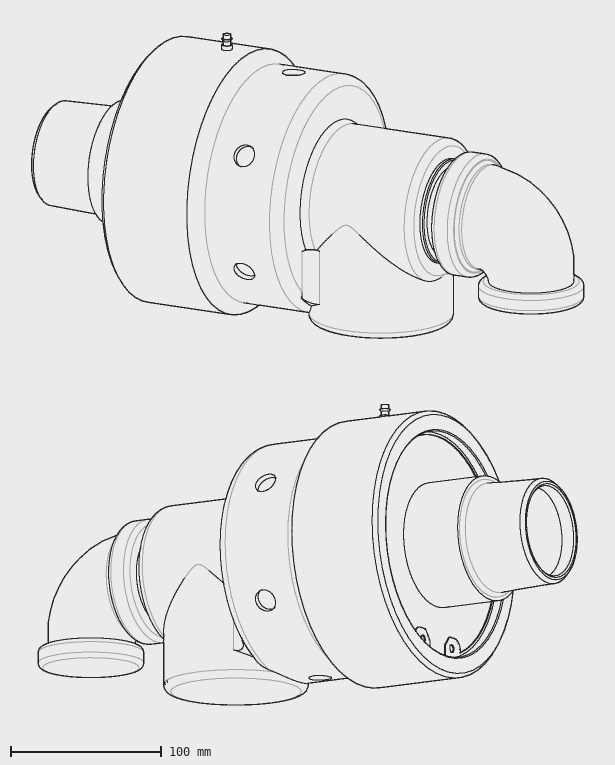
import cadquery as cq
import math

OVERALL_LENGTH = 393.2
OVERALL_HEIGHT = 188.5

TIP_DIAMETER = 65.5
TIP_CHAMFER_LENGTH = 2.8
TAPER_START_DIAMETER = 70.5
TAPER_END_DIAMETER = 73.0
SHOULDER_X = 47.0
SHOULDER_FILLET = 2.8
SHAFT_DIAMETER = 83.5
BORE_DIAMETER = 60.0
BORE_DEPTH = 10.2
BORE_CHAMFER = 1.0

DRUM_START_X = 81.8
DRUM_END_X = 147.0
DRUM_DIAMETER = 178.0
DRUM_CHAMFER = 2.8
DRUM_REAR_FILLET = 8.5
BODY_END_X = 211.5
BODY_DIAMETER = 160.0
BODY_FILLET = 7.0

RECESS_DIAMETER = 151.0
RECESS_DEPTH = 7.5
RECESS_CHAMFER = 0.8
RING_INNER_DIAMETER = 147.5
RING_THICKNESS = 0.8
EAR_INNER_Y = 10.0
EAR_OUTER_Y = 28.7
EAR_TOP_Z = -59.5
EAR_SIDE_TOP_Z = -66.0
EAR_CREST_START_Y = 15.5
EAR_CREST_END_Y = 20.5
EAR_HOLE_DIAMETER = 5.0
EAR_HOLE_Y = 18.0
EAR_HOLE_Z = -67.0

BODY_HOLE_COUNT = 6
BODY_HOLE_DIAMETER = 15.0
BODY_HOLE_DEPTH = 4.0
BODY_HOLE_X = 179.7

NECK_DIAMETER = 96.5
NECK_END_X = 293.5
NECK_ROOT_RADIUS = 8.0
NECK_ROOT_SWEEP = math.radians(45)
EDGE_FILLET = 4.7
SPIGOT_DIAMETER = 70.0
SPIGOT_END_X = 296.0
SPIGOT_CHAMFER = 0.8
GROOVE_DIAMETER = 60.0
COLLAR_START_X = 304.5
COLLAR_END_X = 320.5
COLLAR_DIAMETER = 82.5
FLANGE_FILLET = 3.0
PIPE_FILLET = 2.5

PORT_X = 245.5
PORT_DIAMETER = 96.0
PORT_BOTTOM_Z = -81.8
WEB_FILLET = 6.5
WEB_TOP_Z = -27.0
WEB_OUTER_DIAMETER = 152.0

ELBOW_START_X = 325.0
ELBOW_START_DIAMETER = 70.0
ELBOW_END_DIAMETER = 56.5
ELBOW_END_Z = -39.7
ELBOW_SECTIONS = 7
OUTLET_DIAMETER = 70.0
OUTLET_X = OVERALL_LENGTH - OUTLET_DIAMETER / 2
OUTLET_BOTTOM_Z = -53.0

NIPPLE_X = 129.5
NIPPLE_DIAMETER = 5.0
NIPPLE_RIM_DIAMETER = 7.0
NIPPLE_BASE_TOP_Z = 92.0
NIPPLE_HEAD_Z = 94.8
NIPPLE_HEAD_EDGE_Z = 96.5
NIPPLE_TOP_Z = OVERALL_HEIGHT - DRUM_DIAMETER / 2

DIAGONAL = math.sqrt(0.5)


def convex_fillet(profile, x, r, size):
    """Round the rear outer corner at (x, r), coming along +X and leaving toward the axis."""
    middle = size * (1 - DIAGONAL)
    return profile.lineTo(x - size, r).threePointArc((x - middle, r - middle), (x, r - size))


def concave_fillet(profile, x, r, size):
    """Go toward the axis along a rear face at x and blend into a smaller cylinder of radius r."""
    middle = size * (1 - DIAGONAL)
    return profile.lineTo(x, r + size).threePointArc((x + middle, r + middle), (x + size, r))


def neck_root(profile, x, r, radius):
    """Leave the face at x at an angle and run tangentially onto the cylinder of radius r."""
    half_sweep = NECK_ROOT_SWEEP / 2
    centre_x = x + radius * math.sin(NECK_ROOT_SWEEP)
    centre_r = r + radius
    start = (x, centre_r - radius * math.cos(NECK_ROOT_SWEEP))
    middle = (centre_x - radius * math.sin(half_sweep), centre_r - radius * math.cos(half_sweep))
    return profile.lineTo(*start).threePointArc(middle, (centre_x, r))


def turned_body():
    tip_r = TIP_DIAMETER / 2
    taper_end_r = TAPER_END_DIAMETER / 2
    shaft_r = SHAFT_DIAMETER / 2
    recess_r = RECESS_DIAMETER / 2
    drum_r = DRUM_DIAMETER / 2
    body_r = BODY_DIAMETER / 2
    neck_r = NECK_DIAMETER / 2
    spigot_r = SPIGOT_DIAMETER / 2
    groove_r = GROOVE_DIAMETER / 2
    collar_r = COLLAR_DIAMETER / 2
    pipe_r = ELBOW_START_DIAMETER / 2
    root_x = SHOULDER_X - SHOULDER_FILLET
    root_bulge = SHOULDER_FILLET * DIAGONAL
    collar_bulge = FLANGE_FILLET * (1 - DIAGONAL)

    profile = (
        cq.Workplane("XY")
        .moveTo(0, 0)
        .lineTo(0, tip_r)
        .lineTo(TIP_CHAMFER_LENGTH, TAPER_START_DIAMETER / 2)
        .lineTo(root_x, taper_end_r)
        .threePointArc(
            (root_x + root_bulge, taper_end_r + SHOULDER_FILLET - root_bulge),
            (SHOULDER_X, taper_end_r + SHOULDER_FILLET),
        )
        .lineTo(SHOULDER_X, shaft_r)
        .lineTo(DRUM_START_X + RECESS_DEPTH, shaft_r)
    )
    profile = (
        profile.lineTo(DRUM_START_X + RECESS_DEPTH, recess_r)
        .lineTo(DRUM_START_X + RECESS_CHAMFER, recess_r)
        .lineTo(DRUM_START_X, recess_r + RECESS_CHAMFER)
        .lineTo(DRUM_START_X, drum_r - DRUM_CHAMFER)
        .lineTo(DRUM_START_X + DRUM_CHAMFER, drum_r)
        .lineTo(DRUM_END_X, drum_r)
    )
    profile = concave_fillet(profile, DRUM_END_X, body_r, DRUM_REAR_FILLET)
    profile = convex_fillet(profile, BODY_END_X, body_r, BODY_FILLET)
    profile = neck_root(profile, BODY_END_X, neck_r, NECK_ROOT_RADIUS)
    profile = convex_fillet(profile, NECK_END_X, neck_r, EDGE_FILLET)
    profile = (
        profile.lineTo(NECK_END_X, spigot_r)
        .lineTo(SPIGOT_END_X - SPIGOT_CHAMFER, spigot_r)
        .lineTo(SPIGOT_END_X, spigot_r - SPIGOT_CHAMFER)
        .lineTo(SPIGOT_END_X, groove_r)
        .lineTo(COLLAR_START_X, groove_r)
        .lineTo(COLLAR_START_X, collar_r - FLANGE_FILLET)
        .threePointArc(
            (COLLAR_START_X + collar_bulge, collar_r - collar_bulge),
            (COLLAR_START_X + FLANGE_FILLET, collar_r),
        )
    )
    profile = convex_fillet(profile, COLLAR_END_X, collar_r, FLANGE_FILLET)
    profile = concave_fillet(profile, COLLAR_END_X, pipe_r, PIPE_FILLET)
    profile = profile.lineTo(ELBOW_START_X, pipe_r).lineTo(ELBOW_START_X, 0).close()
    return profile.revolve(360, (0, 0, 0), (1, 0, 0))


def shaft_bore():
    bore = cq.Workplane("YZ").circle(BORE_DIAMETER / 2).extrude(BORE_DEPTH)
    mouth = cq.Solid.makeCone(
        BORE_DIAMETER / 2 + BORE_CHAMFER, BORE_DIAMETER / 2, BORE_CHAMFER,
        cq.Vector(0, 0, 0), cq.Vector(1, 0, 0),
    )
    return bore.union(cq.Workplane(mouth))


def retaining_ring():
    """Snap ring on the recess floor, open at the bottom between two ears with holes."""
    recess_r = RECESS_DIAMETER / 2
    floor_plane = cq.Workplane("YZ", origin=(DRUM_START_X + RECESS_DEPTH, 0, 0))
    ring = floor_plane.circle(recess_r).circle(RING_INNER_DIAMETER / 2).extrude(-RING_THICKNESS)
    gap = floor_plane.center(0, -recess_r).rect(2 * EAR_INNER_Y, recess_r).extrude(-RING_THICKNESS)
    ring = ring.cut(gap)
    disc = floor_plane.circle(recess_r).extrude(-RING_THICKNESS)
    arc_y = EAR_CREST_END_Y + DIAGONAL * (EAR_OUTER_Y - EAR_CREST_END_Y)
    arc_z = EAR_SIDE_TOP_Z + DIAGONAL * (EAR_TOP_Z - EAR_SIDE_TOP_Z)
    ear = (
        floor_plane.moveTo(EAR_INNER_Y, -recess_r)
        .lineTo(EAR_INNER_Y, EAR_SIDE_TOP_Z)
        .lineTo(EAR_CREST_START_Y, EAR_TOP_Z)
        .lineTo(EAR_CREST_END_Y, EAR_TOP_Z)
        .threePointArc((arc_y, arc_z), (EAR_OUTER_Y, EAR_SIDE_TOP_Z))
        .lineTo(EAR_OUTER_Y, -recess_r)
        .close()
        .extrude(-RING_THICKNESS)
        .intersect(disc)
    )
    hole = (
        floor_plane.center(EAR_HOLE_Y, EAR_HOLE_Z)
        .circle(EAR_HOLE_DIAMETER / 2)
        .extrude(-RING_THICKNESS)
    )
    ear = ear.cut(hole)
    return ring.union(ear).union(ear.mirror("XZ"))


def body_holes():
    """Evenly spaced radial blind holes, the first one at the top."""
    floor_r = BODY_DIAMETER / 2 - BODY_HOLE_DEPTH
    holes = cq.Workplane("XY")
    for index in range(BODY_HOLE_COUNT):
        hole = (
            cq.Workplane("XY", origin=(BODY_HOLE_X, 0, floor_r))
            .circle(BODY_HOLE_DIAMETER / 2)
            .extrude(2 * BODY_HOLE_DEPTH)
            .rotate((0, 0, 0), (1, 0, 0), index * 360 / BODY_HOLE_COUNT)
        )
        holes = holes.add(hole)
    return holes.combine()


def side_port():
    return (
        cq.Workplane("XY", origin=(PORT_X, 0, PORT_BOTTOM_Z))
        .circle(PORT_DIAMETER / 2)
        .extrude(-PORT_BOTTOM_Z)
        .faces("<Z")
        .edges()
        .fillet(EDGE_FILLET)
    )


def port_web():
    """Vertical concave blend between the rear face of the body and the port, on both sides."""
    port_r = PORT_DIAMETER / 2
    centre_dx = PORT_X - BODY_END_X - WEB_FILLET
    centre_distance = port_r + WEB_FILLET
    centre_x = BODY_END_X + WEB_FILLET
    centre_y = math.sqrt(centre_distance**2 - centre_dx**2)
    touch_x = PORT_X - centre_dx * port_r / centre_distance
    touch_y = centre_y * port_r / centre_distance
    end_angle = math.atan2(touch_y - centre_y, touch_x - centre_x) % (2 * math.pi)
    middle_angle = (math.pi + end_angle) / 2
    middle_x = centre_x + WEB_FILLET * math.cos(middle_angle)
    middle_y = centre_y + WEB_FILLET * math.sin(middle_angle)
    web_base_x = BODY_END_X - BODY_FILLET
    web = (
        cq.Workplane("XY", origin=(0, 0, WEB_TOP_Z))
        .moveTo(web_base_x, centre_y)
        .lineTo(BODY_END_X, centre_y)
        .threePointArc((middle_x, middle_y), (touch_x, touch_y))
        .lineTo(touch_x, -touch_y)
        .threePointArc((middle_x, -middle_y), (BODY_END_X, -centre_y))
        .lineTo(web_base_x, -centre_y)
        .close()
        .extrude(PORT_BOTTOM_Z - WEB_TOP_Z)
    )
    limit = (
        cq.Workplane("YZ", origin=(web_base_x, 0, 0))
        .circle(WEB_OUTER_DIAMETER / 2)
        .extrude(PORT_X - web_base_x)
    )
    return web.intersect(limit)


def elbow():
    """Tapering quarter bend, lofted through circles whose planes all pass through the pivot."""
    start_distance = -ELBOW_END_Z
    end_distance = OUTLET_X - ELBOW_START_X
    sections = []
    for index in range(ELBOW_SECTIONS):
        share = index / (ELBOW_SECTIONS - 1)
        angle = share * math.pi / 2
        distance = start_distance + share * (end_distance - start_distance)
        diameter = ELBOW_START_DIAMETER + share * (ELBOW_END_DIAMETER - ELBOW_START_DIAMETER)
        centre = cq.Vector(
            ELBOW_START_X + distance * math.sin(angle), 0, ELBOW_END_Z + distance * math.cos(angle)
        )
        flow = cq.Vector(math.cos(angle), 0, -math.sin(angle))
        plane = cq.Plane(origin=centre, xDir=cq.Vector(0, 1, 0), normal=flow)
        sections.append(cq.Workplane(plane).circle(diameter / 2).val())
    return cq.Workplane(cq.Solid.makeLoft(sections))


def outlet_flange():
    return (
        cq.Workplane("XY", origin=(OUTLET_X, 0, OUTLET_BOTTOM_Z))
        .circle(OUTLET_DIAMETER / 2)
        .extrude(ELBOW_END_Z - OUTLET_BOTTOM_Z)
        .edges()
        .fillet(FLANGE_FILLET)
    )


def grease_nipple():
    stem_r = NIPPLE_DIAMETER / 2
    rim_r = NIPPLE_RIM_DIAMETER / 2
    root_z = DRUM_DIAMETER / 2 - NIPPLE_RIM_DIAMETER
    return (
        cq.Workplane("XZ", origin=(NIPPLE_X, 0, 0))
        .moveTo(0, root_z)
        .lineTo(rim_r, root_z)
        .lineTo(rim_r, NIPPLE_BASE_TOP_Z)
        .lineTo(stem_r, NIPPLE_BASE_TOP_Z)
        .lineTo(stem_r, NIPPLE_HEAD_Z)
        .lineTo(rim_r, NIPPLE_HEAD_EDGE_Z)
        .lineTo(stem_r, NIPPLE_HEAD_EDGE_Z)
        .lineTo(stem_r, NIPPLE_TOP_Z)
        .lineTo(0, NIPPLE_TOP_Z)
        .close()
        .revolve(360, (0, 0, 0), (0, 1, 0))
    )


result = (
    turned_body()
    .union(side_port())
    .union(port_web())
    .union(elbow())
    .union(outlet_flange())
    .union(grease_nipple())
    .cut(shaft_bore())
    .union(retaining_ring())
    .cut(body_holes())
    .clean()
)